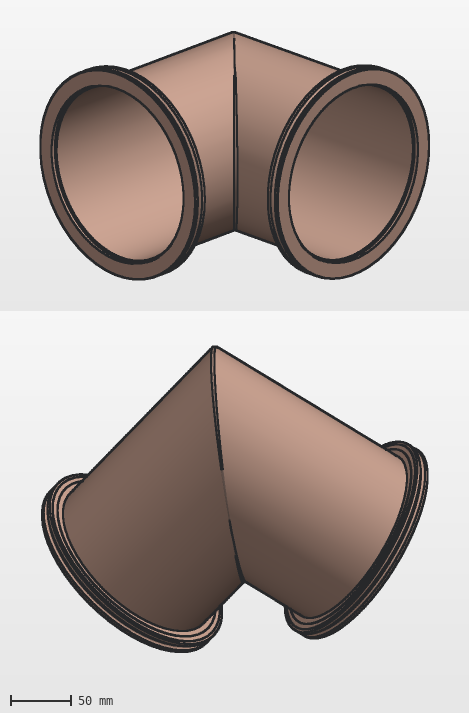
import cadquery as cq
import math

overall_length = 228
flange_radius = 90.0
face_distance = overall_length - flange_radius

pipe_radius = 77.0
pipe_inner_radius = 75.0
miter_setback = 2.0

flange_thickness = 12.0
flange_bore_radius = 76.4
pipe_end_recess = 4.5
rim_edge_chamfer = 0.5

rear_step_height = 0.5
outer_step_radius = 87.3
inner_step_radius = 82.5

groove_depth = 2.5
front_lip_width = 3.0

pipe_end = face_distance - pipe_end_recess


def leg_rod(radius, length, direction):
    """Cylinder along one leg, running on well past the elbow centre."""
    overrun = 2 * radius
    plane = cq.Plane(origin=(0, 0, 0), xDir=(0, 0, 1), normal=direction)
    rod = cq.Workplane(plane).workplane(offset=-overrun)
    return rod.circle(radius).extrude(length + overrun)


def mitered_rod(radius, length):
    """Solid elbow whose two legs meet on the plane x + y = 0."""
    reach = 2 * overall_length
    front_side = (
        cq.Workplane("XY")
        .polyline([(-reach, reach), (reach, -reach), (-reach, -reach)])
        .close()
        .extrude(reach, both=True)
    )
    front_leg = leg_rod(radius, length, (0, -1, 0)).intersect(front_side)
    side_leg = leg_rod(radius, length, (1, 0, 0)).cut(front_side)
    return front_leg.union(side_leg)


def miter_half_prism(bulge, start_angle, half_length):
    """Half-elliptic prism across the miter plane, as tall as the pipe.

    A start angle of -90 bulges towards the inside corner of the elbow, 90 towards the outside.
    """
    miter_plane = cq.Plane(origin=(0, 0, 0), xDir=(1, -1, 0), normal=(1, 1, 0))
    return (
        cq.Workplane(miter_plane)
        .ellipseArc(bulge, pipe_radius, start_angle, start_angle + 180, startAtCurrent=False)
        .close()
        .extrude(half_length, both=True)
    )


def ease_miter(elbow):
    """Flatten the outside miter corner and fill the inside one, fading out at top and bottom."""
    outside_bulge = (2 * pipe_radius - miter_setback) / math.sqrt(2)
    inside_bulge = (2 * pipe_radius + miter_setback) / math.sqrt(2)
    far = pipe_radius + miter_setback

    zone_size = 2 * pipe_radius
    zone_centre = (-pipe_radius, pipe_radius, 0)
    seam_zone = cq.Workplane("XY").box(zone_size, zone_size, zone_size).translate(zone_centre)
    waste = seam_zone.cut(miter_half_prism(outside_bulge, 90, zone_size))

    wedge = (
        cq.Workplane("XY")
        .polyline([(0, 0), (pipe_radius, -far), (far, -pipe_radius)])
        .close()
        .extrude(pipe_radius, both=True)
    )
    filler = wedge.intersect(miter_half_prism(inside_bulge, -90, miter_setback))
    return elbow.cut(waste).union(filler)


def make_pipe():
    outer = ease_miter(mitered_rod(pipe_radius, pipe_end))
    return outer.cut(mitered_rod(pipe_inner_radius, pipe_end)).solids()


def make_flange():
    """Flange turned about Y with its front face at y = -face_distance."""
    front = -face_distance
    back = front + flange_thickness
    rim_back = back - 2 * rear_step_height
    middle_step = back - rear_step_height
    recess = front + pipe_end_recess
    lip_back = front + front_lip_width
    floor_front = lip_back + groove_depth
    flank_back = floor_front + groove_depth
    floor_radius = flange_radius - groove_depth
    diagonal = groove_depth * math.sqrt(0.5)

    return (
        cq.Workplane("XY")
        .moveTo(flange_bore_radius, front)
        .lineTo(flange_radius - rim_edge_chamfer, front)
        .lineTo(flange_radius, front + rim_edge_chamfer)
        .lineTo(flange_radius, lip_back)
        .threePointArc(
            (flange_radius - diagonal, floor_front - diagonal),
            (floor_radius, floor_front),
        )
        .lineTo(flange_radius, flank_back)
        .lineTo(flange_radius, rim_back)
        .lineTo(outer_step_radius, rim_back)
        .lineTo(outer_step_radius, middle_step)
        .lineTo(inner_step_radius, middle_step)
        .lineTo(inner_step_radius, back)
        .lineTo(pipe_radius, back)
        .lineTo(pipe_radius, recess)
        .lineTo(flange_bore_radius, recess)
        .close()
        .revolve(360, (0, 0, 0), (0, 1, 0))
    )


pipe = make_pipe()
flanges = [make_flange().rotate((0, 0, 0), (0, 0, 1), angle) for angle in (0, 90)]

result = cq.Compound.makeCompound([pipe.val(), *[flange.val() for flange in flanges]])